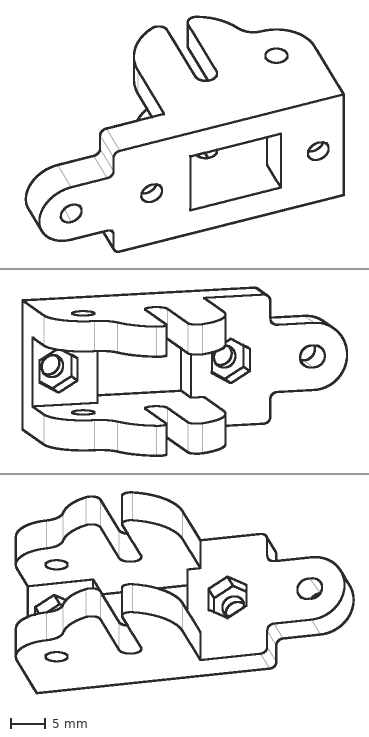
import cadquery as cq
import math

length = 47.5
height = 19.15
mid_z = height / 2

plate_thickness = 5.4
plate_start = 11.6
plate_edge_radius = 1.0
tab_radius = 5.0

arm_thickness = 4.45
arm_gap = height - 2 * arm_thickness
window_start = 23.55
window_end = 37.65

slot_y = 30.55
slot_width = 3.3
slot_end_x = -11.7
nose_x = -15.85
nose_radius = 8.95
tip_radius = 1.35
shoulder_radius = 5.95
neck_radius = 3.25
pin_x = slot_end_x
pin_y = length - shoulder_radius

hole_diameter = 3.25
tilt_angle = 5.0
nut_spacing = 26.0
nut_across_flats = 5.7
nut_depth = 3.32


def polar(center, radius, angle):
    """Point on a circle, with the angle in radians."""
    return center[0] + radius * math.cos(angle), center[1] + radius * math.sin(angle)


def direction(start, end):
    return math.atan2(end[1] - start[1], end[0] - start[0])


def make_plate():
    body = (
        cq.Workplane("XY")
        .box(plate_thickness, length - plate_start, height, centered=False)
        .translate((-plate_thickness, plate_start, 0))
    )
    tab = (
        cq.Workplane("XY")
        .box(plate_thickness, plate_start - tab_radius, 2 * tab_radius, centered=False)
        .translate((-plate_thickness, tab_radius, mid_z - tab_radius))
    )
    tab_end = (
        cq.Workplane("YZ")
        .center(tab_radius, mid_z)
        .circle(tab_radius)
        .extrude(-plate_thickness)
    )
    plate = body.union(tab).union(tab_end)
    shoulder_edges = cq.selectors.BoxSelector(
        (-plate_thickness, plate_start - 0.48, -0.48), (0, plate_start + 0.48, height + 0.48)
    )
    plate = plate.edges("|X").edges(shoulder_edges).fillet(plate_edge_radius)
    window = cq.Workplane("XY").box(
        plate_thickness, window_end - window_start, arm_gap, centered=False
    ).translate((-plate_thickness, window_start, arm_thickness))
    return plate.cut(window)


def make_arm(bottom_z):
    nose = (nose_x, slot_y)
    pin = (pin_x, pin_y)
    slot_top = slot_y + slot_width / 2
    slot_bottom = slot_y - slot_width / 2

    tip_rise = slot_width / 2 + tip_radius
    tip_x = nose_x - math.sqrt((nose_radius - tip_radius) ** 2 - tip_rise ** 2)
    upper_tip = (tip_x, slot_y + tip_rise)
    lower_tip = (tip_x, slot_y - tip_rise)
    upper_angle = direction(nose, upper_tip)
    lower_angle = 2 * math.pi - upper_angle

    neck = (pin_x - shoulder_radius - neck_radius, pin_y)
    neck_angle = direction(nose, neck)
    neck_end_angle = neck_angle - math.pi

    outline = (
        cq.Workplane("XY", origin=(0, 0, bottom_z))
        .moveTo(0, length)
        .lineTo(pin_x, length)
        .threePointArc(
            polar(pin, shoulder_radius, math.radians(135)),
            polar(pin, shoulder_radius, math.pi),
        )
        .threePointArc(
            polar(neck, neck_radius, neck_end_angle / 2),
            polar(neck, neck_radius, neck_end_angle),
        )
        .threePointArc(
            polar(nose, nose_radius, (neck_angle + upper_angle) / 2),
            polar(nose, nose_radius, upper_angle),
        )
        .threePointArc(
            polar(upper_tip, tip_radius, (upper_angle + 1.5 * math.pi) / 2),
            (tip_x, slot_top),
        )
        .lineTo(slot_end_x, slot_top)
        .threePointArc((slot_end_x + slot_width / 2, slot_y), (slot_end_x, slot_bottom))
        .lineTo(tip_x, slot_bottom)
        .threePointArc(
            polar(lower_tip, tip_radius, (lower_angle + 0.5 * math.pi) / 2),
            polar(lower_tip, tip_radius, lower_angle),
        )
        .threePointArc(
            polar(nose, nose_radius, (lower_angle + 1.5 * math.pi) / 2),
            (nose_x, slot_y - nose_radius),
        )
        .lineTo(0, slot_y - nose_radius)
        .close()
    )
    return outline.extrude(arm_thickness)


def make_nut_hole(y):
    """Through hole with a hexagonal nut pocket, corners up and down, in the inner face."""
    hole = (
        cq.Workplane("YZ").center(y, mid_z).circle(hole_diameter / 2).extrude(-plate_thickness)
    )
    pocket = (
        cq.Workplane("YZ", origin=(-plate_thickness, y, mid_z))
        .transformed(rotate=(0, 0, 90))
        .polygon(6, nut_across_flats / math.cos(math.pi / 6))
        .extrude(nut_depth)
    )
    return hole.union(pocket)


def make_tab_hole():
    """Straight hole joined by a slightly tilted one that meets it at the back face."""
    straight = (
        cq.Workplane("YZ", origin=(0, tab_radius, mid_z))
        .circle(hole_diameter / 2)
        .extrude(-plate_thickness)
    )
    tilted = (
        cq.Workplane("YZ", origin=(0, tab_radius, mid_z))
        .circle(hole_diameter / 2)
        .extrude(-2 * plate_thickness)
        .rotate((0, tab_radius, mid_z), (0, tab_radius, mid_z + 0.48), -tilt_angle)
    )
    return straight.union(tilted)


result = make_plate()
for arm_bottom in (0, height - arm_thickness):
    result = result.union(make_arm(arm_bottom))

pin_hole = cq.Workplane("XY").center(pin_x, pin_y).circle(hole_diameter / 2).extrude(height)
result = result.cut(pin_hole)
for side in (-1, 1):
    result = result.cut(make_nut_hole(slot_y + side * nut_spacing / 2))
result = result.cut(make_tab_hole())